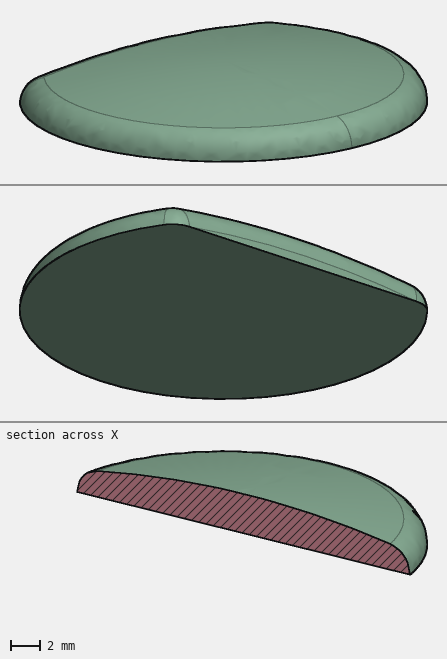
import cadquery as cq

disc_radius = 13.98
flat_distance = 9.03
height = 3.0
dome_radius = 73.53
edge_radius = 1.95


def make_cut_disc():
    """Round disc with one side cut off flat and its upright corners rounded."""
    disc = cq.Workplane("XY").circle(disc_radius).extrude(height)
    kept_length = flat_distance + disc_radius
    keep = (
        cq.Workplane("XY")
        .rect(kept_length, 2 * disc_radius)
        .extrude(height)
        .translate((kept_length / 2 - flat_distance, 0, 0))
    )
    corners = cq.selectors.BoxSelector(
        (-flat_distance - 0.28, -disc_radius, 0),
        (-flat_distance + 0.28, disc_radius, height),
    )
    return disc.intersect(keep).edges("|Z").edges(corners).fillet(edge_radius)


def make_dome():
    """Large ball whose top forms the shallow dome."""
    return cq.Workplane("XY").sphere(dome_radius).translate((0, 0, height - dome_radius))


domed_disc = make_cut_disc().intersect(make_dome())
result = domed_disc.edges("not(<Z or |Z)").fillet(edge_radius)